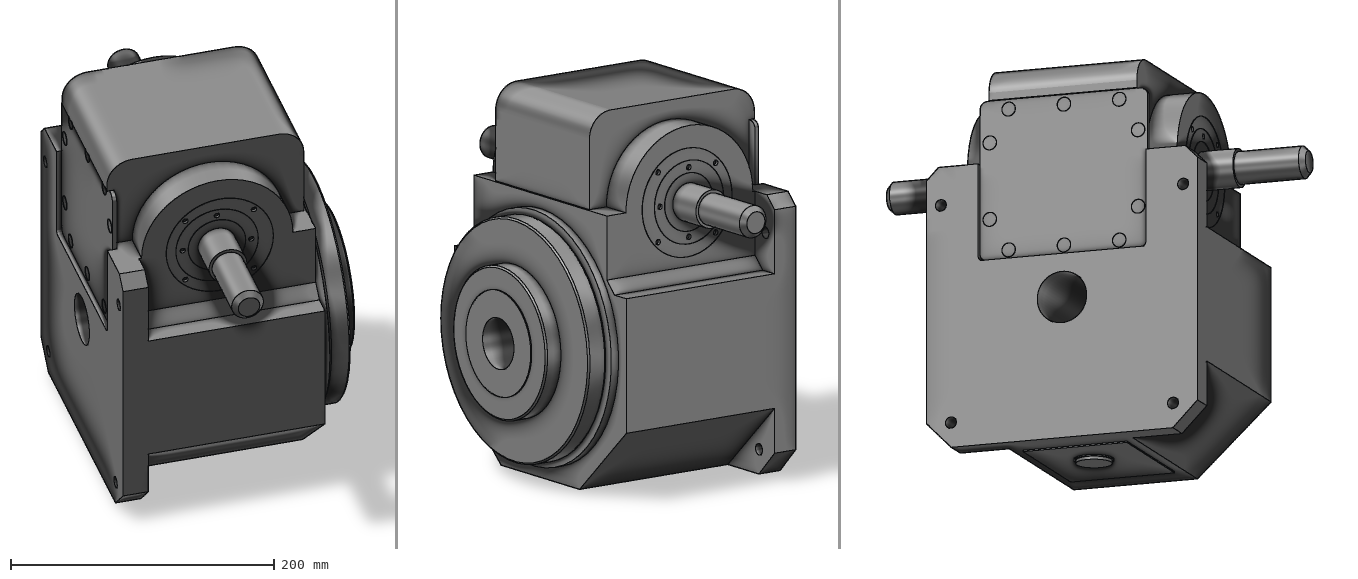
import cadquery as cq


body_size = 220.0
body_depth = 160.0
plate_thickness = 20.0
plate_top_chamfer = 10.0
plate_bottom_chamfer = 20.0
body_chamfer_rise = 55.0
body_chamfer_run = 60.0
cheek_width = 170.0
notch_slope_top = 50.0
notch_slope = 10.0
front_y = -body_depth / 2
rear_y = body_depth / 2
body_bottom = -body_size

housing_width = 120.0
housing_top = 75.0
housing_inset = 2.0
housing_fillet = 20.0

shaft_y = 2.0
shaft_length = 340.0
shaft_radius = 12.5
shaft_chamfer = 4.0
journal_length = 227.0
journal_radius = 15.0
boss_radius = housing_width / 2
bearing_cap_offset = 2.0
bearing_cap_radius = 42.5
bearing_ring_radius = 32.5
seal_radius = 22.8
face_step = 0.5
bearing_hole_radius = 2.0
bearing_hole_depth = 3.0
bearing_hole_offset = 27.2

flange_z = -body_size / 2
flange_bore_radius = 20.0
rim_chamfer = 1.5

cover_width = 136.0
cover_height = 125.0
cover_z = -13.3
cover_corner_radius = 6.0
cover_thickness = 3.5
recess_depth = 7.5
recess_corner_radius = 3.5
screw_radius = 5.5
screw_recess = 0.5
screw_row_x = 45.0
screw_row_z = 55.0
screw_side_x = 60.2
screw_side_z = 30.0

mount_hole_radius = 4.5
upper_mount_x = 98.3
upper_mount_z = -30.0
lower_mount_x = 90.0
lower_mount_z = -200.5

pad_width = 84.3
pad_depth = 104.0
pad_height = 1.0
plug_y = -10.5
plug_collar_radius = 15.3
plug_collar_height = 2.0
plug_radius = 14.0
plug_height = 4.5


def box_between(x0, x1, y0, y1, z0, z1):
    return cq.Workplane("XY").box(x1 - x0, y1 - y0, z1 - z0, centered=False).translate((x0, y0, z0))


def cylinder_x(radius, x0, x1, y=shaft_y, z=0.0):
    return cq.Workplane("YZ", origin=(x0, y, z)).circle(radius).extrude(x1 - x0)


def cylinder_y(radius, y0, y1, x=0.0, z=flange_z):
    return cq.Workplane("XZ", origin=(x, y0, z)).circle(radius).extrude(y0 - y1)


def cylinder_z(radius, z0, z1, y):
    return cq.Workplane("XY", origin=(0, y, z0)).circle(radius).extrude(z1 - z0)


def mirrored(points):
    """Close an outline given by its +X half with the matching -X half."""
    return points + [(-x, z) for x, z in reversed(points)]


def make_body():
    half = body_size / 2
    cheek = cheek_width / 2
    slope_foot = -notch_slope_top - notch_slope
    outline = mirrored([
        (cheek, 0),
        (cheek, -notch_slope_top),
        (cheek + notch_slope, slope_foot),
        (half, slope_foot),
        (half, body_bottom + body_chamfer_rise),
        (half - body_chamfer_run, body_bottom),
    ])
    length = body_depth - plate_thickness
    return cq.Workplane("XZ", origin=(0, rear_y, 0)).polyline(outline).close().extrude(length)


def make_plate():
    half = body_size / 2
    outline = mirrored([
        (half - plate_top_chamfer, 0),
        (half, -plate_top_chamfer),
        (half, body_bottom + plate_bottom_chamfer),
        (half - plate_bottom_chamfer, body_bottom),
    ])
    plate_back = front_y + plate_thickness
    return cq.Workplane("XZ", origin=(0, plate_back, 0)).polyline(outline).close().extrude(plate_thickness)


def make_housing():
    half = housing_width / 2
    block = box_between(-half, half, front_y + housing_inset, rear_y - housing_inset,
                        body_bottom / 2, housing_top)
    return block.edges("|X and >Z").fillet(housing_fillet)


def cover_block(corner_radius, y0, y1):
    block = box_between(-cover_width / 2, cover_width / 2, y0, y1,
                        cover_z - cover_height / 2, cover_z + cover_height / 2)
    return block.edges("|Y").fillet(corner_radius)


def make_cover():
    floor_y = front_y + recess_depth
    face_y = floor_y - cover_thickness
    cover = cover_block(cover_corner_radius, face_y, floor_y)
    spots = [(sx * screw_side_x, sz * screw_side_z) for sx in (-1, 1) for sz in (-1, 1)]
    spots += [(sx * screw_row_x, sz * screw_row_z) for sx in (-1, 0, 1) for sz in (-1, 1)]
    for x, z in spots:
        cover = cover.cut(cylinder_y(screw_radius, face_y, face_y + screw_recess, x, cover_z + z))
    return cover


def make_shaft():
    half = shaft_length / 2
    shaft = cylinder_x(shaft_radius, -half, half).faces("<X or >X").chamfer(shaft_chamfer)
    return shaft.union(cylinder_x(journal_radius, -journal_length / 2, journal_length / 2))


def bearing_recess():
    """Material removed around the shaft on the +X cheek; the -X cheek mirrors it."""
    face = cheek_width / 2
    cap_y = shaft_y + bearing_cap_offset
    recess = cylinder_x(bearing_cap_radius, face - face_step, face, cap_y)
    recess = recess.union(cylinder_x(bearing_ring_radius, face - 2 * face_step, face))
    recess = recess.union(cylinder_x(seal_radius, face - 3 * face_step, face))
    for sy in (-1, 0, 1):
        for sz in (-1, 0, 1):
            if sy == 0 and sz == 0:
                continue
            centre_y = cap_y if sy and sz else shaft_y
            hole = cylinder_x(bearing_hole_radius, face - bearing_hole_depth, face,
                              centre_y + sy * bearing_hole_offset, sz * bearing_hole_offset)
            recess = recess.union(hole)
    return recess


def make_flange():
    """Stacked discs on the rear face: (radius, start, end, chamfered faces)."""
    discs = [
        (100.0, 0.0, 6.8, None),
        (92.8, 6.8, 8.0, None),
        (95.2, 8.0, 24.8, "<Y or >Y"),
        (60.0, 24.8, 38.8, ">Y"),
        (41.5, 38.8, 39.8, None),
    ]
    flange = cq.Workplane("XY")
    for radius, start, end, chamfered in discs:
        disc = cylinder_y(radius, rear_y + start, rear_y + end)
        if chamfered:
            disc = disc.faces(chamfered).chamfer(rim_chamfer)
        flange = flange.union(disc)
    return flange


def make_underside():
    pad = box_between(-pad_width / 2, pad_width / 2, -pad_depth / 2, pad_depth / 2,
                      body_bottom - pad_height, body_bottom)
    collar = cylinder_z(plug_collar_radius, body_bottom - plug_collar_height, body_bottom, plug_y)
    plug = cylinder_z(plug_radius, body_bottom - plug_height, body_bottom, plug_y)
    return pad.union(collar).union(plug)


casing = make_body().union(make_plate()).union(make_housing())
casing = casing.union(cylinder_x(boss_radius, -cheek_width / 2, cheek_width / 2))
casing = casing.cut(cover_block(recess_corner_radius, front_y, front_y + recess_depth))

recess = bearing_recess()
casing = casing.cut(recess).cut(recess.mirror("YZ"))

for side in (-1, 1):
    for x, z in ((upper_mount_x, upper_mount_z), (lower_mount_x, lower_mount_z)):
        casing = casing.cut(cylinder_y(mount_hole_radius, front_y, front_y + plate_thickness, side * x, z))

result = casing.union(make_cover()).union(make_shaft()).union(make_flange()).union(make_underside())
result = result.cut(cylinder_y(flange_bore_radius, front_y, rear_y + body_depth))